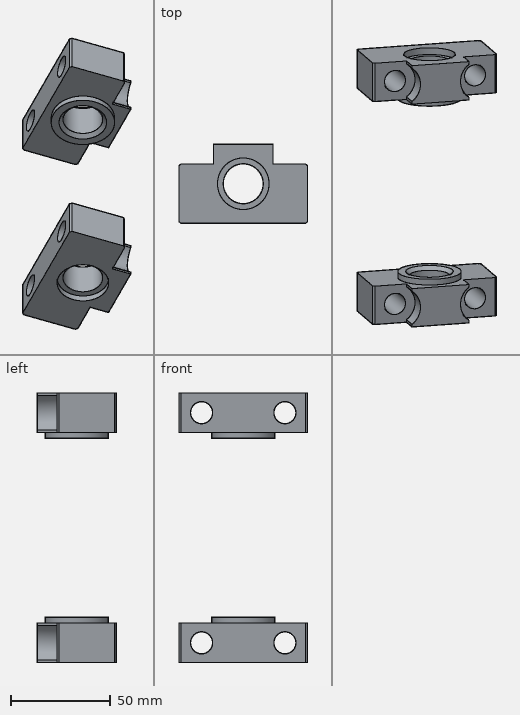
import cadquery as cq

block_length = 65.0
block_front = -20.0
block_back = 10.0
block_height = 20.0
corner_chamfer = 1.0

neck_width = 30.0
neck_back = 20.0

bore_diameter = 20.0
bore_chamfer = 2.0
boss_diameter = 32.0
boss_height = 3.0
counterbore_diameter = 26.0
counterbore_depth = 3.5

bolt_diameter = 11.0
bolt_spacing = 42.0
bolt_head_clearance_diameter = 21.0

overall_height = 136.0
half_height = block_height / 2
block_center_z = overall_height / 2 - half_height


def slab(width, front, back):
    """Box of block height, centred on X, between two Y positions."""
    return cq.Workplane("XY").box(width, back - front, block_height).translate(
        (0, (front + back) / 2, 0)
    )


def cylinder_along_y(diameter, x, front, back):
    """Cylinder at height z = 0, between two Y positions."""
    return (
        cq.Workplane("XZ", origin=(x, front, 0))
        .circle(diameter / 2)
        .extrude(front - back)
    )


def make_bearing_block():
    """One block with its boss pointing up."""
    block = slab(block_length, block_front, block_back).edges("|Z").chamfer(corner_chamfer)
    neck = slab(neck_width, 0, neck_back)
    body = block.union(neck)

    boss = (
        cq.Workplane("XY", origin=(0, 0, half_height))
        .circle(boss_diameter / 2)
        .extrude(boss_height)
    )
    body = body.union(boss)

    bore_radius = bore_diameter / 2
    counterbore_radius = counterbore_diameter / 2
    counterbore_floor = counterbore_depth - half_height
    boss_top = half_height + boss_height
    bore = (
        cq.Workplane("XZ")
        .moveTo(0, -half_height)
        .lineTo(counterbore_radius, -half_height)
        .lineTo(counterbore_radius, counterbore_floor)
        .lineTo(bore_radius, counterbore_floor)
        .lineTo(bore_radius, boss_top - bore_chamfer)
        .lineTo(bore_radius + bore_chamfer, boss_top)
        .lineTo(0, boss_top)
        .close()
        .revolve(360, (0, 0, 0), (0, 1, 0))
    )
    body = body.cut(bore)

    for side in (-1, 1):
        bolt_x = side * bolt_spacing / 2
        bolt_hole = cylinder_along_y(bolt_diameter, bolt_x, block_front, block_back)
        head_clearance = cylinder_along_y(
            bolt_head_clearance_diameter, bolt_x, block_back, neck_back
        )
        body = body.cut(bolt_hole).cut(head_clearance)
    return body


lower_block = make_bearing_block().translate((0, 0, -block_center_z))
upper_block = lower_block.mirror("XY")

result = cq.Compound.makeCompound([lower_block.val(), upper_block.val()])